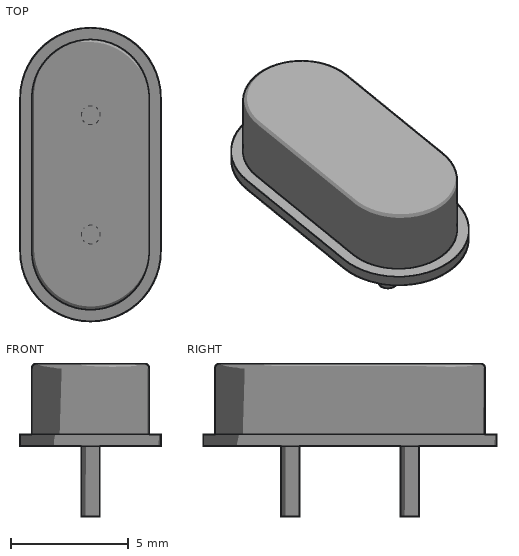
import cadquery as cq

flange_length = 12.5
flange_width = 6.0
flange_thickness = 0.5

ledge = 0.5
can_length = flange_length - 2 * ledge
can_width = flange_width - 2 * ledge
can_height = 3.01
can_edge_radius = 0.2

pin_diameter = 0.8
pin_length = 3.0
pin_spacing = 5.08


def stadium(length, width, height, base_z):
    """Upright prism with fully rounded ends, its long side along Y."""
    return (
        cq.Workplane("XY")
        .workplane(offset=base_z)
        .slot2D(length, width, angle=90)
        .extrude(height)
    )


def make_can():
    """Can with its top rim rounded."""
    can = stadium(can_length, can_width, can_height, flange_thickness)
    return can.faces(">Z").edges().fillet(can_edge_radius)


def make_pins():
    """Two round pins hanging from the underside of the flange at Z = 0."""
    return (
        cq.Workplane("XY")
        .pushPoints([(0, -pin_spacing / 2), (0, pin_spacing / 2)])
        .circle(pin_diameter / 2)
        .extrude(-pin_length)
    )


flange = stadium(flange_length, flange_width, flange_thickness, 0)
result = flange.union(make_can()).union(make_pins())